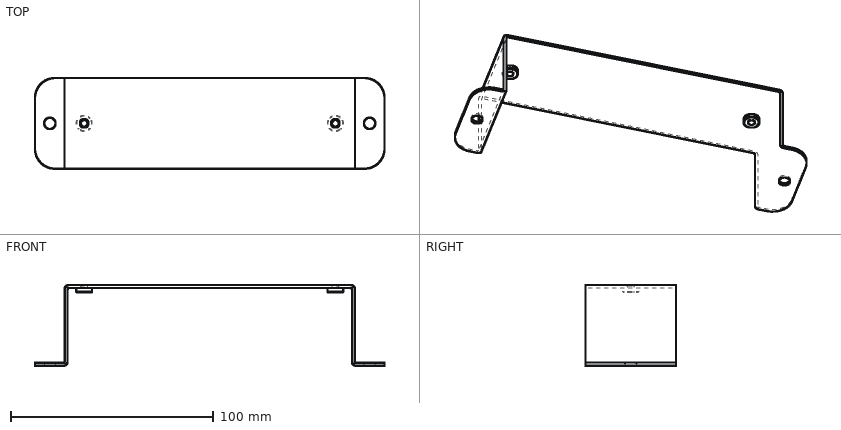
import cadquery as cq

length = 173.0
width = 45.0
height = 40.0

sheet = 1.5
inner_bend = 0.5
outer_bend = inner_bend + sheet
flange_length = 14.7
corner_radius = 10.0

mount_hole_diameter = 5.5
mount_hole_inset = 7.5

nut_inset = 24.4
nut_diameter = 8.0
nut_drop = 2.0
nut_edge_chamfer = 0.3
nut_bore_diameter = 3.3
bore_chamfer = 0.5

half_length = length / 2
wall_outer = half_length - flange_length
wall_inner = wall_outer - sheet
plate_underside = height - sheet


def side_edges(body, x, z):
    """Select the two bend edges along Y at the given distance from the middle and height."""
    reach = sheet / 4
    picked = body.edges(cq.selectors.BoxSelector(
        (x - reach, -width, z - reach), (x + reach, width, z + reach)))
    return picked.add(body.edges(cq.selectors.BoxSelector(
        (-x - reach, -width, z - reach), (-x + reach, width, z + reach))))


def make_sheet():
    """Hat section with rounded bends and rounded flange corners."""
    right_half = [
        (half_length, 0),
        (half_length, sheet),
        (wall_outer, sheet),
        (wall_outer, height),
    ]
    right_inside = [(wall_inner, plate_underside), (wall_inner, 0)]
    left_inside = [(-x, z) for x, z in reversed(right_inside)]
    left_half = [(-x, z) for x, z in right_half]
    outline = right_half + left_half[::-1] + left_inside + right_inside
    body = cq.Workplane("XZ").polyline(outline).close().extrude(width / 2, both=True)

    bends = [
        (wall_outer, height, outer_bend),
        (wall_inner, plate_underside, inner_bend),
        (wall_outer, sheet, inner_bend),
        (wall_inner, 0, outer_bend),
    ]
    for x, z, radius in bends:
        body = side_edges(body, x, z).fillet(radius)

    rounded_blank = (
        cq.Workplane("XY").rect(length, width).extrude(height)
        .edges("|Z").fillet(corner_radius)
    )
    return body.intersect(rounded_blank)


def upright_cylinder(x, diameter, bottom, top):
    return (
        cq.Workplane("XY", origin=(x, 0, bottom))
        .circle(diameter / 2).extrude(top - bottom)
    )


def make_nut(x):
    """Solid nut body with a chamfered lower rim."""
    nut = upright_cylinder(x, nut_diameter, plate_underside - nut_drop, plate_underside)
    return nut.faces("<Z").edges().chamfer(nut_edge_chamfer)


def make_nut_bore(x):
    """Through bore of a nut, countersunk at the top of the plate."""
    bore = upright_cylinder(x, nut_bore_diameter, plate_underside - nut_drop, height)
    countersink = (
        cq.Workplane("XY", origin=(x, 0, height))
        .circle(nut_bore_diameter / 2 + bore_chamfer)
        .workplane(offset=-bore_chamfer)
        .circle(nut_bore_diameter / 2)
        .loft()
    )
    return bore.union(countersink)


result = make_sheet()
for side in (-1, 1):
    mount_x = side * (half_length - mount_hole_inset)
    nut_x = side * (half_length - nut_inset)
    result = result.cut(upright_cylinder(mount_x, mount_hole_diameter, 0, sheet))
    result = result.union(make_nut(nut_x))
    result = result.cut(make_nut_bore(nut_x))